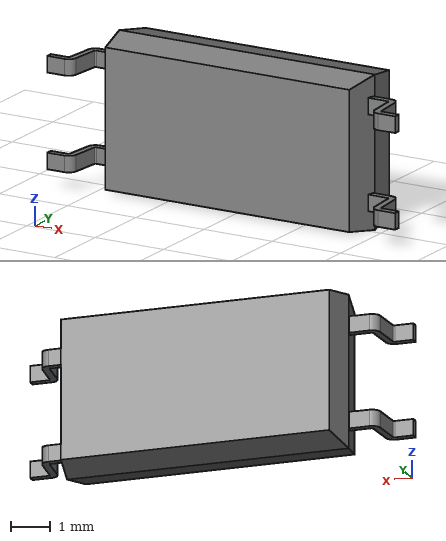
import cadquery as cq
import math

span_x = 10.2
span_y = 2.3
housing_length = 7.5
housing_height = 4.1
back_depth = 1.01
front_depth = 0.98
draft_angle = 10.0

lead_width = 0.44
lead_pitch = 2.55
lead_thickness = 0.19
shoulder_drop = 0.06
foot_length = 0.53
leg_lean = 5.0
outer_bend_radius = 0.22
inner_bend_radius = 0.04


def make_housing_half(depth):
    """Block tapering from the parting plane by the given signed depth along Y."""
    plane = cq.Plane(origin=(0, 0, 0), xDir=(1, 0, 0), normal=(0, math.copysign(1, depth), 0))
    return (
        cq.Workplane(plane)
        .rect(housing_length, housing_height)
        .extrude(abs(depth), taper=draft_angle)
    )


def make_housing():
    """One body made of two halves that taper away from the parting plane."""
    return make_housing_half(back_depth).union(make_housing_half(-front_depth))


def make_left_lead(center_z, housing):
    """Bent strip whose shoulder ends flush against the end face of the housing."""
    shoulder_back = -shoulder_drop
    shoulder_front = shoulder_back - lead_thickness
    foot_front = back_depth - span_y
    foot_back = foot_front + lead_thickness
    tip_x = -span_x / 2
    root_x = -housing_length / 2 + lead_thickness

    lean = math.tan(math.radians(leg_lean))
    leg_width = lead_thickness / math.cos(math.radians(leg_lean))
    heel_x = tip_x + foot_length
    knee_x = heel_x + (shoulder_back - foot_back) * lean
    inner_knee_x = heel_x + leg_width + (shoulder_front - foot_back) * lean
    sole_x = heel_x + leg_width + (foot_front - foot_back) * lean

    strip = (
        cq.Workplane("XY", origin=(0, 0, center_z))
        .polyline([
            (tip_x, foot_front),
            (sole_x, foot_front),
            (inner_knee_x, shoulder_front),
            (root_x, shoulder_front),
            (root_x, shoulder_back),
            (knee_x, shoulder_back),
            (heel_x, foot_back),
            (tip_x, foot_back),
        ])
        .close()
        .extrude(lead_width / 2, both=True)
    )
    outer_bends = [(knee_x, shoulder_back, center_z), (sole_x, foot_front, center_z)]
    for bend in outer_bends:
        strip = strip.edges(cq.selectors.NearestToPointSelector(bend)).fillet(outer_bend_radius)
    inner_bends = [(inner_knee_x, shoulder_front, center_z), (heel_x, foot_back, center_z)]
    for bend in inner_bends:
        strip = strip.edges(cq.selectors.NearestToPointSelector(bend)).fillet(inner_bend_radius)
    return strip.cut(housing)


housing = make_housing()

leads = []
for center_z in (-lead_pitch / 2, lead_pitch / 2):
    left_lead = make_left_lead(center_z, housing)
    leads.append(left_lead.solids().val())
    leads.append(left_lead.mirror("YZ").solids().val())

result = cq.Compound.makeCompound([housing.solids().val(), *leads])